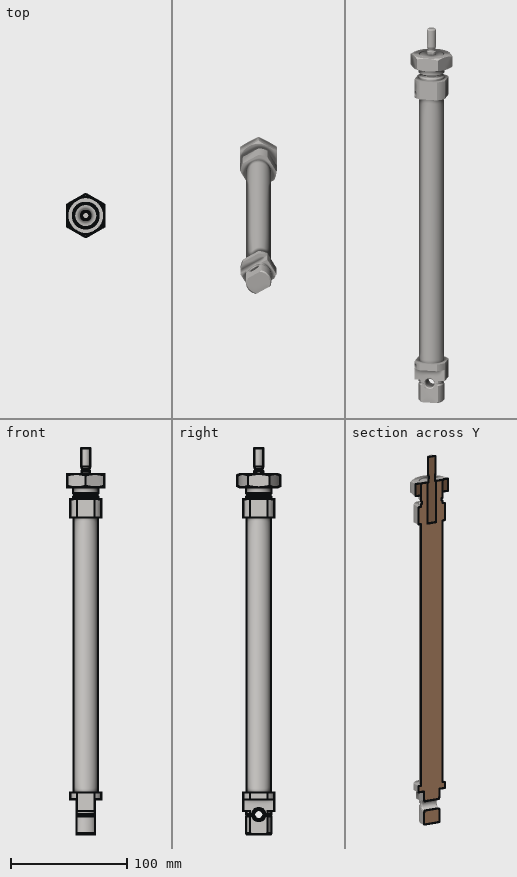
import cadquery as cq
import math

total_height = 332.0
tail_length = 20.0
rear_cheek_height = 10.0
rear_flange_height = 6.0
barrel_length = 236.0
front_cap_height = 16.0
stud_length = 21.2

rear_flange_bottom = tail_length + rear_cheek_height
barrel_bottom = rear_flange_bottom + rear_flange_height
front_cap_bottom = barrel_bottom + barrel_length
stud_bottom = front_cap_bottom + front_cap_height
stud_top = stud_bottom + stud_length

cap_across_flats = 26.7
cap_corner_diameter = 30.8
barrel_diameter = 21.3

thread_diameter = 22.0
thread_end_diameter = 20.0
thread_chamfer = (thread_diameter - thread_end_diameter) / 2
relief_diameter = 19.7
relief_depth = (thread_diameter - relief_diameter) / 2
front_relief_offset = 1.6
front_relief_lead = relief_depth
front_relief_floor = 1.2
rear_relief_offset = 2.4
rear_relief_lead = 0.0
rear_relief_floor = 1.1

tail_thickness = 16.0
pivot_height = 17.0
pivot_diameter = 8.0
pivot_chamfer_diameter = 9.4
pivot_recess_diameter = 11.0
pivot_recess_depth = 0.5

screw_hole_diameter = 4.6
screw_hole_depth = 4.0
screw_hole_angle = 128.0
rear_screw_height = 32.4
front_screw_height = 275.6

rod_diameter = 8.0
rod_bottom = front_cap_bottom
rod_neck_diameter = 6.4
rod_chamfer = (rod_diameter - rod_neck_diameter) / 2
rod_thread_length = 16.0
rod_neck_upper_taper = 2.2
rod_neck_length = 1.3
rod_neck_lower_taper = 0.7
rod_across_flats = 7.0

nut_across_flats = 32.0
nut_height = 11.5
nut_face_diameter = 31.8
nut_chamfer_angle = math.radians(25)
nut_gap = 10.0
nut_bottom = stud_bottom + nut_gap


def cylinder(diameter, bottom, height):
    return cq.Workplane("XY").workplane(offset=bottom).circle(diameter / 2).extrude(height)


def slab(width_x, width_y, bottom, height):
    return cq.Workplane("XY").workplane(offset=bottom).rect(width_x, width_y).extrude(height)


def revolved(profile):
    """Turn a closed (radius, height) profile about the Z axis."""
    return cq.Workplane("XZ").polyline(profile).close().revolve(360, (0, 0, 0), (0, 1, 0))


def cap(bottom, height):
    square = slab(cap_across_flats, cap_across_flats, bottom, height)
    return square.intersect(cylinder(cap_corner_diameter, bottom, height))


def threaded_end(shoulder, length, direction, relief_offset, relief_lead, relief_floor):
    """Threaded end with a relief groove, running from its shoulder up (+1) or down (-1)."""
    thread_radius = thread_diameter / 2
    relief_radius = relief_diameter / 2
    floor_start = relief_offset + relief_lead
    floor_end = floor_start + relief_floor
    steps = [
        (0, 0),
        (thread_radius, 0),
        (thread_radius, relief_offset),
        (relief_radius, floor_start),
        (relief_radius, floor_end),
        (thread_radius, floor_end + relief_depth),
        (thread_radius, length - thread_chamfer),
        (thread_end_diameter / 2, length),
        (0, length),
    ]
    return revolved([(radius, shoulder + direction * step) for radius, step in steps])


def screw_hole(height):
    angle = math.radians(screw_hole_angle)
    outward = cq.Vector(math.cos(angle), math.sin(angle), 0)
    start = outward * (cap_corner_diameter / 2 - screw_hole_depth) + cq.Vector(0, 0, height)
    cutter = cq.Solid.makeCylinder(screw_hole_diameter / 2, 2 * screw_hole_depth, start, outward)
    return cq.Workplane(obj=cutter)


def pivot_hole():
    """Cross hole along X with a chamfer and a shallow recess at each flat of the tail."""
    half = tail_thickness / 2
    recess_floor = half - pivot_recess_depth
    chamfer_width = (pivot_chamfer_diameter - pivot_diameter) / 2
    one_end = [
        (recess_floor - chamfer_width, pivot_diameter / 2),
        (recess_floor, pivot_chamfer_diameter / 2),
        (recess_floor, pivot_recess_diameter / 2),
        (half, pivot_recess_diameter / 2),
        (half, 0),
    ]
    other_end = [(-x, radius) for x, radius in reversed(one_end)]
    profile = cq.Workplane("XY").polyline(one_end + other_end).close()
    hole = profile.revolve(360, (0, 0, 0), (1, 0, 0))
    return hole.translate((0, 0, pivot_height))


def make_housing():
    cheek = cap(tail_length, rear_cheek_height)
    tail = threaded_end(
        tail_length, tail_length, -1, rear_relief_offset, rear_relief_lead, rear_relief_floor
    )
    flat_end = cheek.union(tail).intersect(
        slab(tail_thickness, cap_across_flats, 0, rear_flange_bottom)
    )
    body = flat_end.cut(pivot_hole())
    body = body.union(cap(rear_flange_bottom, rear_flange_height))
    body = body.union(cylinder(barrel_diameter, barrel_bottom, barrel_length))
    body = body.union(cap(front_cap_bottom, front_cap_height))
    stud = threaded_end(
        stud_bottom, stud_length, 1, front_relief_offset, front_relief_lead, front_relief_floor
    )
    body = body.union(stud)
    for height in (rear_screw_height, front_screw_height):
        body = body.cut(screw_hole(height))
    return body.cut(cylinder(rod_diameter, rod_bottom, stud_top - rod_bottom))


def make_rod():
    radius = rod_diameter / 2
    neck_radius = rod_neck_diameter / 2
    thread_bottom = total_height - rod_thread_length
    neck_top = thread_bottom - rod_neck_upper_taper
    neck_bottom = neck_top - rod_neck_length
    shank_top = neck_bottom - rod_neck_lower_taper
    rod = revolved([
        (0, rod_bottom),
        (radius, rod_bottom),
        (radius, shank_top),
        (neck_radius, neck_bottom),
        (neck_radius, neck_top),
        (radius, thread_bottom),
        (radius, total_height - rod_chamfer),
        (neck_radius, total_height),
        (0, total_height),
    ])
    flats_height = neck_bottom - stud_top
    flats = cylinder(rod_diameter, stud_top, flats_height).cut(
        slab(rod_across_flats, rod_diameter, stud_top, flats_height)
    )
    return rod.cut(flats)


def make_nut():
    """Hexagon nut with flats facing +X and -X and both faces chamfered."""
    corner_radius = nut_across_flats / 2 / math.cos(math.radians(30))
    face_radius = nut_face_diameter / 2
    chamfer_height = (corner_radius - face_radius) * math.tan(nut_chamfer_angle)
    hexagon = (
        cq.Workplane("XY")
        .polygon(6, 2 * corner_radius)
        .extrude(nut_height)
        .rotate((0, 0, 0), (0, 0, 1), 30)
    )
    envelope = revolved([
        (0, 0),
        (face_radius, 0),
        (corner_radius, chamfer_height),
        (corner_radius, nut_height - chamfer_height),
        (face_radius, nut_height),
        (0, nut_height),
    ])
    nut = hexagon.intersect(envelope).cut(cylinder(thread_diameter, 0, nut_height))
    return nut.translate((0, 0, nut_bottom))


housing = make_housing()
rod = make_rod()
nut = make_nut()

result = cq.Compound.makeCompound([housing.val(), rod.val(), nut.val()])